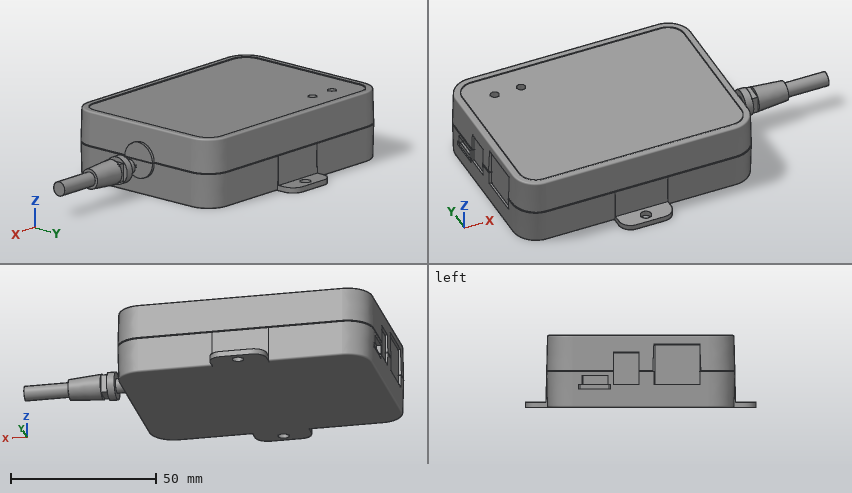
import cadquery as cq
import math

CASE_LENGTH = 89.9
CASE_WIDTH = 64.8
CASE_HEIGHT = 25.0
PARTING_Z = CASE_HEIGHT / 2
CORNER_RADIUS = 9.0
DRAFT_ANGLE = 1.5
EDGE_FILLET = 0.6
SEAM_GAP = 0.3
SEAM_DEPTH = 0.4
LEFT_END = -CASE_LENGTH / 2
RIGHT_END = CASE_LENGTH / 2

RECESS_MARGIN = 2.8
RECESS_DEPTH = 0.4
RECESS_RADIUS = CORNER_RADIUS - RECESS_MARGIN
LIGHT_HOLE_DIAMETER = 3.1
LIGHT_HOLE_DEPTH = 2.6
LIGHT_HOLE_COUNT = 2
LIGHT_HOLE_PITCH = 10.0
LIGHT_HOLE_X = -31.3
LIGHT_HOLE_Y = 20.3

LUG_SPAN = 79.5
LUG_LENGTH = 20.0
LUG_THICKNESS = 1.9
LUG_RADIUS = 4.5
LUG_HOLE_DIAMETER = 3.9
LUG_HOLE_PITCH = 72.0
PAD_FOOT_Y = CASE_WIDTH / 2 + 0.3

BOSS_RADIUS = 6.4
BOSS_PROJECTION = 0.9
BOSS_ROOT = 1.3

BOARD_TOP_Z = 8.0
CONNECTOR_DEPTH = 15.5
CUT_START = LEFT_END - 1.3
FIT_GAP = 0.4
FACE_SETBACK = 0.9

NETWORK_Y = -12.6
NETWORK_WIDTH = 15.5
NETWORK_HEIGHT = 13.6
NETWORK_FLARE = 0.4
POWER_Y = 5.0
POWER_WIDTH = 8.9
POWER_HEIGHT = 10.8
USB_Y = 15.6
USB_WIDTH = 8.6
USB_HEIGHT = 3.1
USB_SETBACK = 1.5

BOARD_THICKNESS = 1.5
BOARD_Y = 16.0
BOARD_WIDTH = 9.9
BOARD_SIDE_GAP = 0.5
BOARD_SETBACK = 0.6

CABLE_Y = -2.8
CABLE_Z = 10.0
OVERALL_LENGTH = 128.6
CABLE_END = LEFT_END + OVERALL_LENGTH
CABLE_RADIUS = 2.6
CABLE_START = 47.3
COLLAR_START = 51.3
COLLAR_END = 54.0
COLLAR_RADIUS = 4.9
BOOT_START = 56.3
BOOT_END = 67.9
BOOT_START_RADIUS = 4.5
BOOT_END_RADIUS = 3.6
NECK_SIZE = 6.4
STRIP_WIDTH = 3.1
STRIP_THICKNESS = 0.9
STRIP_START = RIGHT_END - BOSS_ROOT


def box(x_start, x_end, y_center, width, z_bottom, height):
    """Box between two X positions, centred on y_center and standing on z_bottom."""
    return cq.Workplane("XY").box(
        x_end - x_start, width, height, centered=(False, True, False)
    ).translate((x_start, y_center, z_bottom))


def rounded_outline(plane, length, width, radius):
    return plane.sketch().rect(length, width).vertices().fillet(radius).finalize()


def case_half(direction):
    """Drafted half of the case, above (+1) or below (-1) the parting plane."""
    plane = cq.Workplane("XY", origin=(0, 0, PARTING_Z))
    half = rounded_outline(plane, CASE_LENGTH, CASE_WIDTH, CORNER_RADIUS).extrude(
        direction * PARTING_Z, taper=DRAFT_ANGLE
    )
    outer_face = ">Z" if direction > 0 else "<Z"
    half = half.faces(outer_face).edges().fillet(EDGE_FILLET)
    return half.union(boss_half(direction))


def boss_half(direction):
    boss = (
        cq.Workplane("YZ", origin=(RIGHT_END - BOSS_ROOT, 0, PARTING_Z))
        .circle(BOSS_RADIUS)
        .extrude(BOSS_ROOT + BOSS_PROJECTION)
    )
    z_bottom = PARTING_Z if direction > 0 else 0
    side = box(0, CASE_LENGTH, 0, CASE_WIDTH, z_bottom, PARTING_Z)
    return boss.intersect(side)


def connector(center_y, width, height, setback):
    return box(LEFT_END + setback, LEFT_END + CONNECTOR_DEPTH, center_y, width, BOARD_TOP_Z, height)


def opening(center_y, width, height, gap_left, gap_top):
    """Opening for a connector, wider toward +Y and higher by the given gaps."""
    return box(
        CUT_START,
        LEFT_END + CONNECTOR_DEPTH,
        center_y + gap_left / 2,
        width + gap_left,
        BOARD_TOP_Z,
        height + gap_top,
    )


def make_openings():
    network = opening(NETWORK_Y, NETWORK_WIDTH, NETWORK_HEIGHT, FIT_GAP, FIT_GAP)
    power = opening(POWER_Y, POWER_WIDTH, POWER_HEIGHT, 0, FIT_GAP)
    usb = opening(USB_Y, USB_WIDTH, USB_HEIGHT, FIT_GAP, 0)
    slot = box(
        CUT_START,
        LEFT_END + CONNECTOR_DEPTH,
        BOARD_Y,
        BOARD_WIDTH + 2 * BOARD_SIDE_GAP,
        BOARD_TOP_Z - BOARD_THICKNESS,
        BOARD_THICKNESS,
    )
    return network.union(power).union(usb).union(slot)


def network_flare():
    """Wedge-sided widening of the network opening in the lid, broadest at the parting plane."""
    right_edge = NETWORK_Y - NETWORK_WIDTH / 2
    left_edge = NETWORK_Y + NETWORK_WIDTH / 2 + FIT_GAP
    top = BOARD_TOP_Z + NETWORK_HEIGHT + FIT_GAP
    return (
        cq.Workplane("YZ", origin=(CUT_START, 0, 0))
        .polyline(
            [
                (right_edge - NETWORK_FLARE, PARTING_Z),
                (left_edge + NETWORK_FLARE, PARTING_Z),
                (left_edge, top),
                (right_edge, top),
            ]
        )
        .close()
        .extrude(LEFT_END + CONNECTOR_DEPTH - CUT_START)
    )


def seam_groove():
    """Ring around the foot of the lid that leaves a fine gap between the two halves."""
    plane = cq.Workplane("XY", origin=(0, 0, PARTING_Z))
    outside = plane.rect(CASE_LENGTH + 2 * BOSS_ROOT, CASE_WIDTH + 2 * BOSS_ROOT).extrude(SEAM_GAP)
    core = rounded_outline(
        plane,
        CASE_LENGTH - 2 * SEAM_DEPTH,
        CASE_WIDTH - 2 * SEAM_DEPTH,
        CORNER_RADIUS - SEAM_DEPTH,
    ).extrude(SEAM_GAP)
    return outside.cut(core)


def make_lid(openings):
    lid = case_half(1).cut(seam_groove()).cut(network_flare())
    recess = rounded_outline(
        cq.Workplane("XY", origin=(0, 0, CASE_HEIGHT)),
        CASE_LENGTH - 2 * RECESS_MARGIN,
        CASE_WIDTH - 2 * RECESS_MARGIN,
        RECESS_RADIUS,
    ).extrude(-RECESS_DEPTH)
    hole_centers = [
        (LIGHT_HOLE_X + i * LIGHT_HOLE_PITCH, LIGHT_HOLE_Y) for i in range(LIGHT_HOLE_COUNT)
    ]
    light_holes = (
        cq.Workplane("XY", origin=(0, 0, CASE_HEIGHT))
        .pushPoints(hole_centers)
        .circle(LIGHT_HOLE_DIAMETER / 2)
        .extrude(-RECESS_DEPTH - LIGHT_HOLE_DEPTH)
    )
    return lid.cut(recess).cut(light_holes).cut(openings)


def make_lugs():
    """One plate under the case whose ends form the two lugs, with a leaning pad above each."""
    plate = (
        cq.Workplane("XY")
        .rect(LUG_LENGTH, LUG_SPAN)
        .extrude(LUG_THICKNESS)
        .edges("|Z")
        .fillet(LUG_RADIUS)
        .faces(">Z")
        .workplane()
        .pushPoints([(0, LUG_HOLE_PITCH / 2), (0, -LUG_HOLE_PITCH / 2)])
        .hole(LUG_HOLE_DIAMETER)
    )
    pads = (
        cq.Workplane("YZ")
        .polyline(
            [
                (-PAD_FOOT_Y, 0),
                (PAD_FOOT_Y, 0),
                (CASE_WIDTH / 2, PARTING_Z),
                (-CASE_WIDTH / 2, PARTING_Z),
            ]
        )
        .close()
        .extrude(LUG_LENGTH / 2, both=True)
    )
    return plate.union(pads)


def make_strip():
    return box(
        STRIP_START, CABLE_START, CABLE_Y, STRIP_WIDTH, CABLE_Z - STRIP_THICKNESS / 2, STRIP_THICKNESS
    )


def make_base(openings):
    return case_half(-1).union(make_lugs()).cut(openings).cut(make_strip())


def cable_plane(x):
    """Plane across the cable axis at the given X."""
    return cq.Workplane("YZ", origin=(x, CABLE_Y, CABLE_Z))


def make_cable():
    """Round cable with collar, square neck and tapered boot, led into the case by a flat strip."""
    core = cable_plane(CABLE_START).circle(CABLE_RADIUS).extrude(CABLE_END - CABLE_START)
    collar = cable_plane(COLLAR_START).circle(COLLAR_RADIUS).extrude(COLLAR_END - COLLAR_START)
    neck = cable_plane(COLLAR_END).rect(NECK_SIZE, NECK_SIZE).extrude(BOOT_START - COLLAR_END)
    boot_length = BOOT_END - BOOT_START
    boot_taper = math.degrees(math.atan2(BOOT_START_RADIUS - BOOT_END_RADIUS, boot_length))
    boot = cable_plane(BOOT_START).circle(BOOT_START_RADIUS).extrude(boot_length, taper=boot_taper)
    return core.union(collar).union(neck).union(boot).union(make_strip())


openings = make_openings()
lid = make_lid(openings)
base = make_base(openings)
network_port = connector(NETWORK_Y, NETWORK_WIDTH, NETWORK_HEIGHT, FACE_SETBACK)
power_port = connector(POWER_Y, POWER_WIDTH, POWER_HEIGHT, FACE_SETBACK)
usb_port = connector(USB_Y, USB_WIDTH, USB_HEIGHT, USB_SETBACK)
board = box(
    LEFT_END + BOARD_SETBACK,
    LEFT_END + CONNECTOR_DEPTH,
    BOARD_Y,
    BOARD_WIDTH,
    BOARD_TOP_Z - BOARD_THICKNESS,
    BOARD_THICKNESS,
)
cable = make_cable()

result = cq.Compound.makeCompound(
    [body.val() for body in (lid, base, network_port, power_port, usb_port, board, cable)]
)